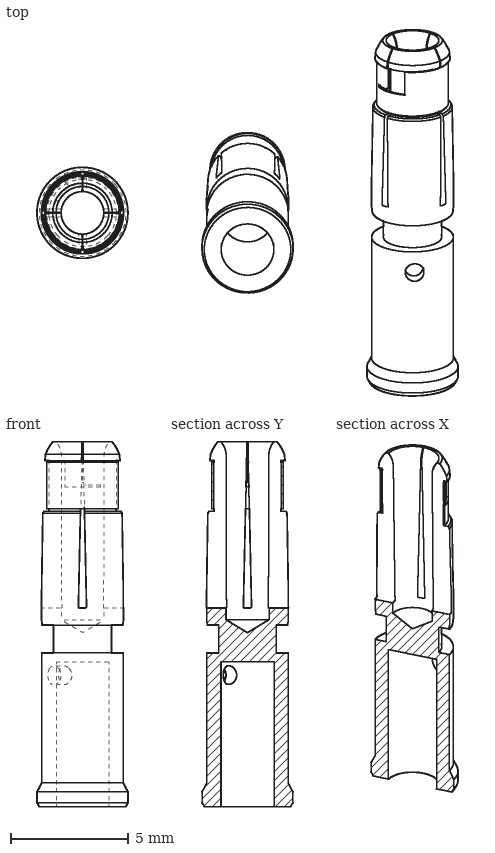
import cadquery as cq
import math

total_length = 15.6

flange_radius = 1.95
flange_chamfer_height = 0.18
flange_chamfer_width = 0.1
flange_top_z = 0.64
barrel_radius = 1.75
barrel_start_z = 1.03
barrel_end_z = 6.58
crimp_bore_radius = 1.125
crimp_bore_depth = 6.2

inspection_diameter = 0.8
inspection_z = 5.63
inspection_angle = 135

neck_radius = 1.25
collar_radius = 1.76
collar_bottom_z = 7.77
collar_chamfer_height = 0.26
collar_chamfer_width = 0.03
collar_top_z = 9.06

finger_tip_radius = 1.7
finger_edge_chamfer_width = 0.06
finger_edge_chamfer_height = 0.09
finger_shoulder_z = 12.64
core_radius = 1.44

head_bottom_z = 14.79
head_bottom_radius = 1.61
head_rim_z = 15.07
head_rim_radius = 1.58
head_top_radius = 1.27
head_bulge = 0.03

socket_radius = 0.91
socket_entry_radius = 1.13
socket_entry_depth = 0.6
socket_floor_z = 8.0
drill_point_angle = 118

slit_floor_z = 8.5
slit_floor_width = 0.34
slit_top_width = 0.03
slit_floor_fillet = 0.06

sleeve_radius = 1.535
sleeve_bottom_z = 12.73
sleeve_top_z = 14.73

notch_left_x = -0.75
notch_wall_x = 0.0
notch_relief_x = 0.75
notch_bottom_z = 13.68
notch_relief_height = 0.09
notch_corner_width = 0.15
notch_corner_z = 13.87


def turned_body():
    """Solid of revolution carrying the flange, barrel, neck, collar, fingers and head."""
    head_mid_radius = (head_rim_radius + head_top_radius) / 2 + head_bulge
    head_mid_z = (head_rim_z + total_length) / 2
    return (
        cq.Workplane("XZ")
        .moveTo(0, 0)
        .lineTo(flange_radius - flange_chamfer_width, 0)
        .lineTo(flange_radius, flange_chamfer_height)
        .lineTo(flange_radius, flange_top_z)
        .lineTo(barrel_radius, barrel_start_z)
        .lineTo(barrel_radius, barrel_end_z)
        .lineTo(neck_radius, barrel_end_z)
        .lineTo(neck_radius, collar_bottom_z)
        .lineTo(collar_radius - collar_chamfer_width, collar_bottom_z)
        .lineTo(collar_radius, collar_bottom_z + collar_chamfer_height)
        .lineTo(collar_radius, collar_top_z)
        .lineTo(finger_tip_radius, finger_shoulder_z - finger_edge_chamfer_height)
        .lineTo(finger_tip_radius - finger_edge_chamfer_width, finger_shoulder_z)
        .lineTo(core_radius, finger_shoulder_z)
        .lineTo(core_radius, head_bottom_z)
        .lineTo(head_bottom_radius, head_bottom_z)
        .lineTo(head_rim_radius, head_rim_z)
        .threePointArc((head_mid_radius, head_mid_z), (head_top_radius, total_length))
        .lineTo(0, total_length)
        .close()
        .revolve(360, (0, 0), (0, 1))
    )


def socket_bore():
    """Cutter for the socket: the entry arc runs tangentially into the straight bore."""
    entry_end_z = total_length - socket_entry_depth
    point_depth = socket_radius / math.tan(math.radians(drill_point_angle / 2))
    return (
        cq.Workplane("XZ")
        .moveTo(0, socket_floor_z - point_depth)
        .lineTo(socket_radius, socket_floor_z)
        .lineTo(socket_radius, entry_end_z)
        .tangentArcPoint((socket_entry_radius, total_length), relative=False)
        .lineTo(0, total_length)
        .close()
        .revolve(360, (0, 0), (0, 1))
    )


def crimp_bore():
    """Cutter for the wire bore in the barrel."""
    return cq.Workplane("XY").circle(crimp_bore_radius).extrude(crimp_bore_depth)


def inspection_hole():
    """Cutter for the radial hole through one barrel wall."""
    return (
        cq.Workplane("YZ")
        .center(0, inspection_z)
        .circle(inspection_diameter / 2)
        .extrude(flange_radius)
        .rotate((0, 0, 0), (0, 0, 1), inspection_angle)
    )


def finger_slit():
    """Cutter for one tapered slit across the whole diameter along Y."""
    half_floor = slit_floor_width / 2
    half_top = slit_top_width / 2
    return (
        cq.Workplane("XZ")
        .moveTo(-half_floor, slit_floor_z)
        .lineTo(half_floor, slit_floor_z)
        .lineTo(half_top, total_length)
        .lineTo(-half_top, total_length)
        .close()
        .extrude(flange_radius, both=True)
        .edges("|Y and <Z")
        .fillet(slit_floor_fillet)
    )


def sleeve():
    """Thin ring that wraps the finger core below the head, notched on +Y."""
    ring = (
        cq.Workplane("XY", origin=(0, 0, sleeve_bottom_z))
        .circle(sleeve_radius)
        .circle(core_radius)
        .extrude(sleeve_top_z - sleeve_bottom_z)
    )
    relief_z = notch_bottom_z + notch_relief_height
    notch = (
        cq.Workplane("XZ")
        .moveTo(notch_left_x, sleeve_top_z)
        .lineTo(notch_wall_x, sleeve_top_z)
        .lineTo(notch_wall_x, notch_corner_z)
        .lineTo(notch_wall_x + notch_corner_width, relief_z)
        .lineTo(notch_relief_x, relief_z)
        .lineTo(notch_relief_x, notch_bottom_z)
        .lineTo(notch_left_x, notch_bottom_z)
        .close()
        .extrude(-flange_radius)
    )
    return ring.cut(notch)


body = turned_body().cut(socket_bore()).cut(crimp_bore()).cut(inspection_hole())
for slit_angle in (0, 90):
    body = body.cut(finger_slit().rotate((0, 0, 0), (0, 0, 1), slit_angle))

result = body.union(sleeve())